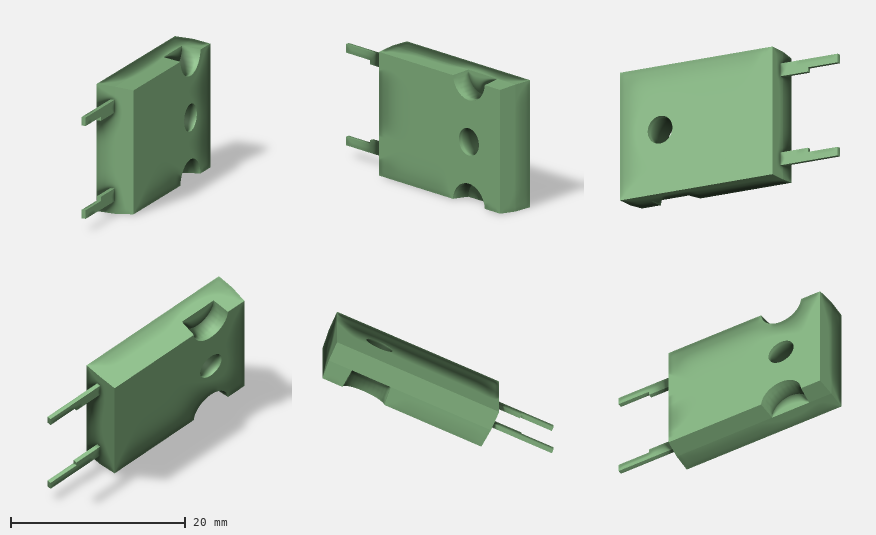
import cadquery as cq
import math

total_length = 27.88
width = 15.25
thickness = 4.6
base_thickness = 2.35
lead_length = 7.6
body_length = total_length - lead_length
draft_angle = 5.0
cover_thickness = thickness - base_thickness
draft_offset = cover_thickness * math.tan(math.radians(draft_angle))

hole_diameter = 3.3
hole_from_end = 5.33
hole_y = body_length / 2 - hole_from_end
notch_radius = 2.43

lead_thickness = 0.5
lead_outer_z = 6.08
lead_wide = 1.53
lead_narrow = 1.03
lead_tip_length = 4.0


def make_base():
    """Straight-sided slab with its flat back at X = 0."""
    return cq.Workplane("YZ").rect(body_length, width).extrude(base_thickness)


def make_cover():
    """Front half, with all four sides drafted inward."""
    return (
        cq.Workplane("YZ")
        .workplane(offset=base_thickness)
        .rect(body_length, width)
        .extrude(cover_thickness, taper=draft_angle)
    )


def make_notch(side):
    """Conical cutter centred on a long edge, widening toward the front."""
    return (
        cq.Workplane("YZ", origin=(base_thickness, hole_y, side * width / 2))
        .circle(notch_radius)
        .workplane(offset=cover_thickness)
        .circle(notch_radius + draft_offset)
        .loft()
    )


def make_lead(side):
    """Stepped flat lead; its straight outer edge faces away from the centre."""
    root_y = -body_length / 2
    tip_y = root_y - lead_length
    step_y = tip_y + lead_tip_length
    outer_z = side * lead_outer_z
    wide_z = side * (lead_outer_z - lead_wide)
    narrow_z = side * (lead_outer_z - lead_narrow)
    return (
        cq.Workplane("YZ", origin=(base_thickness - lead_thickness, 0, 0))
        .polyline([
            (root_y, outer_z),
            (tip_y, outer_z),
            (tip_y, narrow_z),
            (step_y, narrow_z),
            (step_y, wide_z),
            (root_y, wide_z),
        ])
        .close()
        .extrude(lead_thickness)
    )


cover = make_cover()
for side in (-1, 1):
    cover = cover.cut(make_notch(side))

result = make_base().union(cover)
for side in (-1, 1):
    result = result.union(make_lead(side))

mounting_hole = (
    cq.Workplane("YZ", origin=(0, hole_y, 0))
    .circle(hole_diameter / 2)
    .extrude(thickness)
)
result = result.cut(mounting_hole)